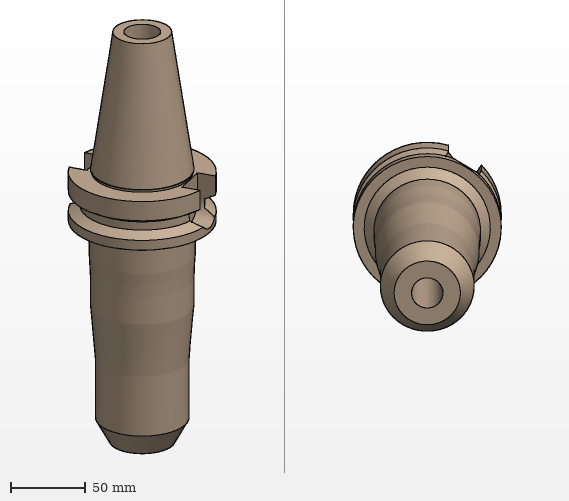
import cadquery as cq

total_height = 301.8

nose_radius = 22.3
nose_height = 17.2
body_radius = 31.7
body_top = 61.0
collar_radius = 35.0
collar_bottom = 100.8
collar_top = 120.7
shoulder_radius = 36.0
shoulder_bottom = 138.8
shoulder_top = 156.3

flange_diameter = 100.0
flange_radius = flange_diameter / 2
flange_bottom = 162.7
flange_top = 198.5
flange_foot_radius = 42.5
groove_radius = 42.3
groove_lower_edge = 170.0
groove_upper_edge = 184.5
groove_bevel_height = 4.2

neck_radius = 34.5
gauge_radius = 35.0
gauge_height = 200.5
shank_end_radius = 20.0

bore_radius = 10.5
mouth_radius = 12.5
mouth_depth = 12.0

slot_width = 26.0
slot_bottom = 166.0
slot_floor = 35.0


def make_holder():
    """Revolve the outer half profile around Z."""
    outline = [
        (0, 0),
        (nose_radius, 0),
        (body_radius, nose_height),
        (body_radius, body_top),
        (collar_radius, collar_bottom),
        (collar_radius, collar_top),
        (shoulder_radius, shoulder_bottom),
        (shoulder_radius, shoulder_top),
        (flange_foot_radius, flange_bottom),
        (flange_radius, flange_bottom),
        (flange_radius, groove_lower_edge),
        (groove_radius, groove_lower_edge + groove_bevel_height),
        (groove_radius, groove_upper_edge - groove_bevel_height),
        (flange_radius, groove_upper_edge),
        (flange_radius, flange_top),
        (neck_radius, flange_top),
        (neck_radius, gauge_height),
        (gauge_radius, gauge_height),
        (shank_end_radius, total_height),
        (0, total_height),
    ]
    return cq.Workplane("XZ").polyline(outline).close().revolve(360, (0, 0, 0), (0, 1, 0))


def make_bore():
    """Through bore with a wider mouth at the shank end."""
    through = cq.Workplane("XY").circle(bore_radius).extrude(total_height)
    mouth = (
        cq.Workplane("XY", origin=(0, 0, total_height - mouth_depth))
        .circle(mouth_radius)
        .extrude(mouth_depth)
    )
    return through.union(mouth)


def make_drive_slot():
    """Round-bottomed slot on the +X side, open at the rim and top of the flange."""
    half_width = slot_width / 2
    arc_center = slot_bottom + half_width
    return (
        cq.Workplane("YZ", origin=(slot_floor, 0, 0))
        .moveTo(-half_width, flange_top)
        .lineTo(-half_width, arc_center)
        .threePointArc((0, slot_bottom), (half_width, arc_center))
        .lineTo(half_width, flange_top)
        .close()
        .extrude(flange_radius)
    )


result = make_holder().cut(make_bore())
for angle in (0, 180):
    result = result.cut(make_drive_slot().rotate((0, 0, 0), (0, 0, 1), angle))